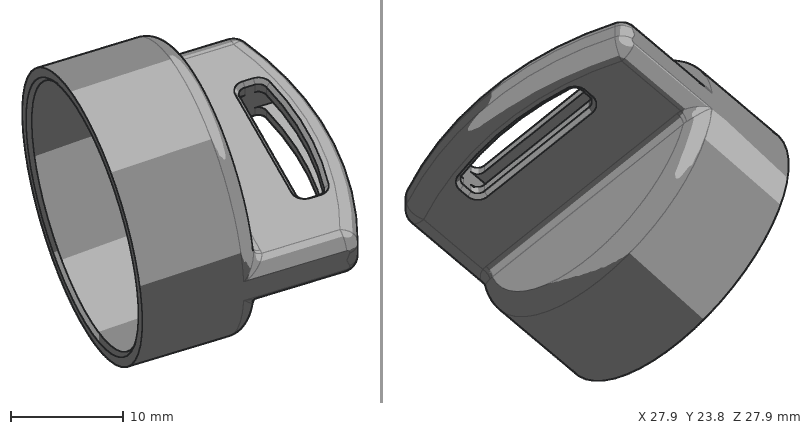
import cadquery as cq
import math

cap_diameter = 27.85
cap_radius = cap_diameter / 2
cap_height = 11.4
edge_radius = 1.62
cavity_radius = 12.62
cavity_depth = 7.75
mouth_chamfer = 0.4

handle_thickness = 4.85
handle_top = 23.8
crown_radius = 33.42
root_radius = 0.8

opening_width = 14.7
opening_bottom = 17.9
grip_thickness = 2.53
opening_corner_radius = 0.84
opening_chamfer = 0.42

slot_thickness = 2.0
slot_roof_thickness = 0.6

crown_center = handle_top - crown_radius
selection_margin = 0.28


def disc(radius, height):
    """Cylinder along +Y starting at the mouth plane."""
    return cq.Workplane("XZ").circle(radius).extrude(-height)


def arched_plate(width, bottom, arch_radius, thickness):
    """Plate centred on Z = 0 with a flat bottom and an arched top about the crown centre."""
    half = width / 2
    side_top = crown_center + math.sqrt(arch_radius**2 - half**2)
    return (
        cq.Workplane("XY")
        .moveTo(-half, bottom)
        .lineTo(half, bottom)
        .lineTo(half, side_top)
        .threePointArc((0, crown_center + arch_radius), (-half, side_top))
        .close()
        .extrude(thickness / 2, both=True)
    )


def make_outer_body():
    """Cap and handle, each with rounded outer edges, joined by a filleted root."""
    cap = disc(cap_radius, cap_height).faces(">Y").edges().fillet(edge_radius)
    handle = arched_plate(cap_diameter, cavity_depth, crown_radius, handle_thickness)
    handle = handle.edges("not <Y").fillet(edge_radius)
    body = cap.union(handle)
    reach_z = handle_thickness / 2 + selection_margin
    root_edges = cq.selectors.BoxSelector(
        (-selection_margin, cap_height - selection_margin, -reach_z),
        (selection_margin, cap_height + selection_margin, reach_z),
    )
    body = body.edges(root_edges).fillet(root_radius)
    return body.intersect(disc(cap_radius, 2 * handle_top))


def make_cavity():
    """Round recess with a chamfered mouth."""
    mouth = cq.Workplane(
        cq.Solid.makeCone(
            cavity_radius + mouth_chamfer, cavity_radius, mouth_chamfer,
            pnt=cq.Vector(0, 0, 0), dir=cq.Vector(0, 1, 0),
        )
    )
    return disc(cavity_radius, cavity_depth).union(mouth)


def cut_opening(body):
    """Finger opening with rounded corners and chamfered rims on both handle faces."""
    arch_radius = crown_radius - grip_thickness
    opening = arched_plate(opening_width, opening_bottom, arch_radius, handle_thickness)
    opening = opening.edges("|Z").fillet(opening_corner_radius)
    body = body.cut(opening)
    reach_x = opening_width / 2 + selection_margin
    reach_z = handle_thickness / 2 + selection_margin
    rims = cq.selectors.BoxSelector(
        (-reach_x, opening_bottom - selection_margin, -reach_z),
        (reach_x, crown_center + arch_radius + selection_margin, reach_z),
    )
    return body.faces("|Z").edges(rims).chamfer(opening_chamfer)


def make_slot():
    """Thin arched slot, as wide as the finger opening, closed by the roof of the grip."""
    return arched_plate(opening_width, cavity_depth, crown_radius - slot_roof_thickness, slot_thickness)


body = make_outer_body()
body = cut_opening(body)
result = body.cut(make_cavity()).cut(make_slot())